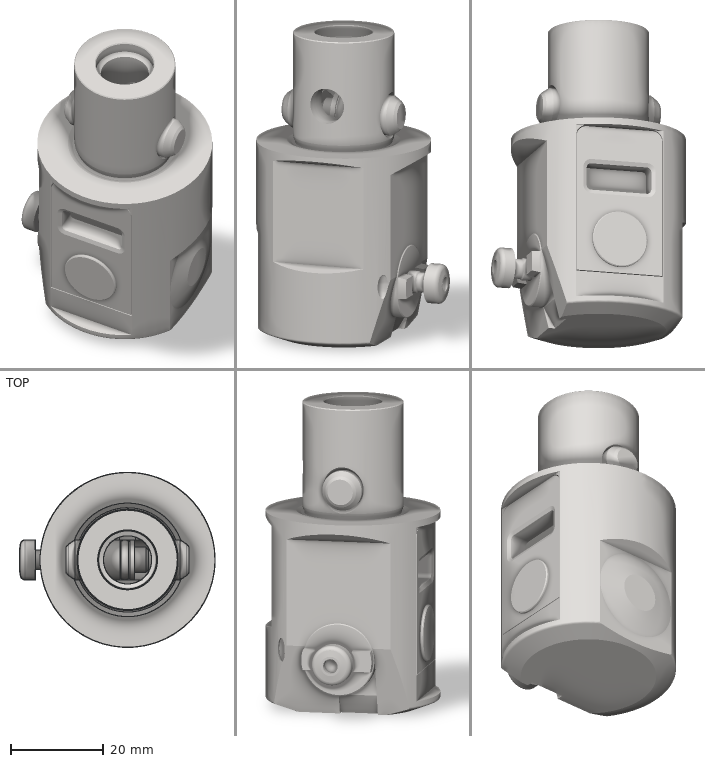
import cadquery as cq
import math

TOTAL_HEIGHT = 67.0
BODY_RADIUS = 18.995
BODY_TOP_Z = 42.95
FAR = 2 * BODY_RADIUS

BASE_CONE_HEIGHT = 1.7
BASE_CONE_WIDTH = 4.3
BASE_EDGE_FILLET = 0.55
EDGE_PICK_MARGIN = 0.1

SPIGOT_RADIUS = 11.0
SPIGOT_EDGE_CHAMFER = 0.2
NECK_RADIUS = 10.6
SPIGOT_TAPER_TOP_Z = 44.0
SPIGOT_TAPER_BOTTOM_Z = 43.35
SPIGOT_TAPER_RADIUS = 10.85
NECK_RECESS_RADIUS = 12.3
NECK_RECESS_FLOOR_RADIUS = 11.3
NECK_RECESS_DEPTH = 0.4
BORE_RADIUS = 5.2
COUNTERBORE_RADIUS = 6.3
COUNTERBORE_CHAMFER = 0.2
COUNTERBORE_DEPTH = 2.55
COUNTERBORE_CONE_DEPTH = 0.55
BACK_HOLE_RADIUS = 3.9
BACK_HOLE_Z = 52.65

CROSS_HOLE_Z = 49.2
CROSS_MOUTH_INNER_X = 9.7
CROSS_MOUTH_RADIUS = 5.1
CROSS_MOUTH_OVERSHOOT = 0.7
BUTTON_RADIUS = 4.35
CROSS_HOLE_RADIUS = BUTTON_RADIUS
BUTTON_FACE_X = 13.3
BUTTON_FACE_RADIUS = 2.8
BUTTON_RIM_X = 12.8
BUTTON_RIM_RADIUS = 3.4
BUTTON_SHOULDER_X = 11.4
LEFT_BODY_END_X = -1.7
BEAD_START_X = -1.4
BEAD_END_X = 0.2
COLLAR_START_X = 0.5
COLLAR_END_X = 1.55
NOSE_END_X = 4.5
NOSE_RADIUS = 2.75
NOSE_CHAMFER = 0.55
GROOVE_RADIUS = 4.0

LEFT_FLAT_X = -15.1
LEFT_FLAT_TOP_Z = 38.65
LEFT_FLAT_RIM_Z = 40.9
LEFT_SLOPE_TOP_Z = 15.3
LEFT_SLOPE_BOTTOM_X = -11.1
RIGHT_FLAT_X = 16.1
RIGHT_FLAT_TOP_Z = 23.0
RIGHT_FLAT_RIM_Z = 24.6
BACK_FLAT_Y = 15.9
BACK_FLAT_TOP_Z = 40.75
BACK_FLAT_TOP_RIM_Z = 42.0
BACK_FLAT_BOTTOM_Z = 18.3
BACK_FLAT_BOTTOM_RIM_Z = 17.3
FRONT_FLAT_Y = -16.2
FRONT_FLAT_TOP_Z = 41.5
FRONT_FLAT_BOTTOM_Z = 3.0

POCKET_FLOOR_Y = -11.7
POCKET_HALF_WIDTH = 9.8
POCKET_CORNER_RADIUS = 2.3
PANEL_CLEARANCE = 0.15
PANEL_HALF_WIDTH = POCKET_HALF_WIDTH - PANEL_CLEARANCE
DISPLAY_BOTTOM_Z = 24.85
COVER_TOP_Z = 8.8
COVER_GAP = 0.2
WINDOW_WIDTH = 14.6
WINDOW_HEIGHT = 5.9
WINDOW_Z = 30.2
WINDOW_CORNER_RADIUS = 1.0
WINDOW_CHAMFER_WIDTH = 0.9
WINDOW_CHAMFER_DEPTH = 0.4
POWER_BUTTON_RADIUS = 6.15
POWER_BUTTON_Z = 16.4
POWER_BUTTON_HEIGHT = 0.7
POWER_BUTTON_CHAMFER = 0.2

DISC_Z = 12.6
DISC_RADIUS = 8.0
DISC_FACE_X = -15.3
DISC_SEAT_X = -12.2
DISC_CHAMFER = 0.2
BAR_FACE_X = -17.3
BAR_TIP_WIDTH = 4.3
BAR_ROOT_WIDTH = 4.8
BAR_GAP_RADIUS = 4.0
SCREW_COLLAR_RADIUS = 2.4
SCREW_COLLAR_CHAMFER = 0.3
SCREW_NECK_RADIUS = 2.15
SCREW_HEAD_RADIUS = 4.35
SCREW_HEAD_BACK_X = -20.0
SCREW_HEAD_RIM_X = -22.3
SCREW_HEAD_FACE_X = -23.485
SCREW_HEAD_FACE_RADIUS = 2.15
SCREW_HEAD_ROUND_X = -22.9
SCREW_HEAD_ROUND_RADIUS = 4.1
SCREW_HEAD_BEND_X = -23.25
SCREW_HEAD_BEND_RADIUS = 3.55
SOCKET_RADIUS = 1.6
SOCKET_DEPTH = 2.0
SOCKET_TIP_DEPTH = 2.8

RELIEF_Y_MIN = -7.9
RELIEF_Y_MAX = 0.55
RELIEF_KNEE_Z = 4.4
RELIEF_ANGLE = 30.0

BOSS_Z = 12.85
BOSS_BASE_RADIUS = 10.0
BOSS_TOP_RADIUS = 4.35
BOSS_HEIGHT = 1.4

OVAL_Y = 12.9
OVAL_Z = 14.0
OVAL_HALF_WIDTH = 0.95
OVAL_HALF_HEIGHT = 2.7
OVAL_FLOOR_X = -11.7


def disc_along_x(radius, x_start, x_end, z):
    """Cylinder around an axis parallel to X at height z."""
    return (
        cq.Workplane("YZ", origin=(x_start, 0, z))
        .circle(radius)
        .extrude(x_end - x_start)
    )


def turned_along_x(profile, z):
    """Revolve a closed wire, drawn as (x, radius), around an axis parallel to X at height z."""
    return profile.revolve(360, (0, 0, 0), (1, 0, 0)).translate((0, 0, z))


def prism_along_y(points_xz, y_min, y_max):
    """Extrude an (x, z) polygon from y_min to y_max."""
    return (
        cq.Workplane("XZ", origin=(0, y_max, 0))
        .polyline(points_xz)
        .close()
        .extrude(y_max - y_min)
    )


def prism_along_x(points_yz):
    """Extrude a (y, z) polygon through the whole body."""
    return cq.Workplane("YZ").polyline(points_yz).close().extrude(FAR, both=True)


def front_block(half_width, z_min, z_max):
    """Block that fills the panel pocket between two heights."""
    return cq.Workplane("XY").box(
        2 * half_width, POCKET_FLOOR_Y - FRONT_FLAT_Y, z_max - z_min
    ).translate((0, (POCKET_FLOOR_Y + FRONT_FLAT_Y) / 2, (z_max + z_min) / 2))


def turned_blank():
    recess_floor_z = BODY_TOP_Z - NECK_RECESS_DEPTH
    profile = [
        (0, 0),
        (BODY_RADIUS - BASE_CONE_WIDTH, 0),
        (BODY_RADIUS, BASE_CONE_HEIGHT),
        (BODY_RADIUS, BODY_TOP_Z),
        (NECK_RECESS_RADIUS, BODY_TOP_Z),
        (NECK_RECESS_FLOOR_RADIUS, recess_floor_z),
        (NECK_RADIUS, recess_floor_z),
        (NECK_RADIUS, SPIGOT_TAPER_BOTTOM_Z),
        (SPIGOT_TAPER_RADIUS, SPIGOT_TAPER_BOTTOM_Z),
        (SPIGOT_RADIUS, SPIGOT_TAPER_TOP_Z),
        (SPIGOT_RADIUS, TOTAL_HEIGHT - SPIGOT_EDGE_CHAMFER),
        (SPIGOT_RADIUS - SPIGOT_EDGE_CHAMFER, TOTAL_HEIGHT),
        (0, TOTAL_HEIGHT),
    ]
    blank = cq.Workplane("XZ").polyline(profile).close().revolve(360, (0, 0, 0), (0, 1, 0))
    base_edge = cq.selectors.BoxSelector(
        (-FAR, -FAR, BASE_CONE_HEIGHT - EDGE_PICK_MARGIN),
        (FAR, FAR, BASE_CONE_HEIGHT + EDGE_PICK_MARGIN),
        boundingbox=True,
    )
    return blank.edges(base_edge).fillet(BASE_EDGE_FILLET)


def left_flat_cut():
    rim_slope = (LEFT_FLAT_RIM_Z - LEFT_FLAT_TOP_Z) / (BODY_RADIUS + LEFT_FLAT_X)
    points = [
        (LEFT_FLAT_X, LEFT_FLAT_TOP_Z),
        (LEFT_FLAT_X, LEFT_SLOPE_TOP_Z),
        (LEFT_SLOPE_BOTTOM_X, 0),
        (-FAR, 0),
        (-FAR, LEFT_FLAT_TOP_Z + rim_slope * (FAR + LEFT_FLAT_X)),
    ]
    return prism_along_y(points, -FAR, FAR)


def right_flat_cut():
    rim_slope = (RIGHT_FLAT_RIM_Z - RIGHT_FLAT_TOP_Z) / (BODY_RADIUS - RIGHT_FLAT_X)
    points = [
        (RIGHT_FLAT_X, 0),
        (RIGHT_FLAT_X, RIGHT_FLAT_TOP_Z),
        (FAR, RIGHT_FLAT_TOP_Z + rim_slope * (FAR - RIGHT_FLAT_X)),
        (FAR, 0),
    ]
    return prism_along_y(points, -FAR, FAR)


def back_flat_cut():
    points = [
        (BACK_FLAT_Y, BACK_FLAT_BOTTOM_Z),
        (BACK_FLAT_Y, BACK_FLAT_TOP_Z),
        (BODY_RADIUS, BACK_FLAT_TOP_RIM_Z),
        (FAR, BACK_FLAT_TOP_RIM_Z),
        (FAR, BACK_FLAT_BOTTOM_RIM_Z),
        (BODY_RADIUS, BACK_FLAT_BOTTOM_RIM_Z),
    ]
    return prism_along_x(points)


def front_flat_cut():
    points = [
        (FRONT_FLAT_Y, FRONT_FLAT_BOTTOM_Z),
        (FRONT_FLAT_Y, FRONT_FLAT_TOP_Z),
        (-FAR, FRONT_FLAT_TOP_Z),
        (-FAR, FRONT_FLAT_BOTTOM_Z),
    ]
    return prism_along_x(points)


def panel_pocket():
    pocket = front_block(POCKET_HALF_WIDTH, FRONT_FLAT_BOTTOM_Z, FRONT_FLAT_TOP_Z)
    return pocket.edges("|Y").fillet(POCKET_CORNER_RADIUS)


def spigot_bore():
    cone_top_z = TOTAL_HEIGHT - COUNTERBORE_DEPTH
    profile = [
        (0, CROSS_HOLE_Z),
        (BORE_RADIUS, CROSS_HOLE_Z),
        (BORE_RADIUS, cone_top_z - COUNTERBORE_CONE_DEPTH),
        (COUNTERBORE_RADIUS, cone_top_z),
        (COUNTERBORE_RADIUS, TOTAL_HEIGHT - COUNTERBORE_CHAMFER),
        (COUNTERBORE_RADIUS + COUNTERBORE_CHAMFER, TOTAL_HEIGHT),
        (0, TOTAL_HEIGHT),
    ]
    return cq.Workplane("XZ").polyline(profile).close().revolve(360, (0, 0, 0), (0, 1, 0))


def cross_hole():
    mouth_slope = (CROSS_MOUTH_RADIUS - CROSS_HOLE_RADIUS) / (SPIGOT_RADIUS - CROSS_MOUTH_INNER_X)
    end_x = SPIGOT_RADIUS + CROSS_MOUTH_OVERSHOOT
    end_radius = CROSS_HOLE_RADIUS + mouth_slope * (end_x - CROSS_MOUTH_INNER_X)
    profile = cq.Workplane("XY").polyline([
        (-end_x, 0),
        (-end_x, end_radius),
        (-CROSS_MOUTH_INNER_X, CROSS_HOLE_RADIUS),
        (CROSS_MOUTH_INNER_X, CROSS_HOLE_RADIUS),
        (end_x, end_radius),
        (end_x, 0),
    ]).close()
    return turned_along_x(profile, CROSS_HOLE_Z)


def back_hole():
    return (
        cq.Workplane("XZ", origin=(0, 0, BACK_HOLE_Z))
        .circle(BACK_HOLE_RADIUS)
        .extrude(-BODY_RADIUS)
    )


def disc_relief():
    """Opening under the disc, with its back wall leaning inward below the knee."""
    lean = RELIEF_KNEE_Z * math.tan(math.radians(RELIEF_ANGLE))
    points = [
        (-FAR, 0),
        (DISC_SEAT_X + lean, 0),
        (DISC_SEAT_X, RELIEF_KNEE_Z),
        (DISC_SEAT_X, DISC_Z),
        (-FAR, DISC_Z),
    ]
    return prism_along_y(points, RELIEF_Y_MIN, RELIEF_Y_MAX)


def oval_recess():
    return (
        cq.Workplane("YZ", origin=(OVAL_FLOOR_X, OVAL_Y, OVAL_Z))
        .ellipse(OVAL_HALF_WIDTH, OVAL_HALF_HEIGHT)
        .extrude(-BODY_RADIUS)
    )


def right_boss():
    profile = cq.Workplane("XY").polyline([
        (RIGHT_FLAT_X, 0),
        (RIGHT_FLAT_X, BOSS_BASE_RADIUS),
        (RIGHT_FLAT_X + BOSS_HEIGHT, BOSS_TOP_RADIUS),
        (RIGHT_FLAT_X + BOSS_HEIGHT, 0),
    ]).close()
    return turned_along_x(profile, BOSS_Z)


def make_housing():
    cuts = [
        left_flat_cut(),
        right_flat_cut(),
        back_flat_cut(),
        front_flat_cut(),
        panel_pocket(),
        spigot_bore(),
        cross_hole(),
        back_hole(),
        disc_along_x(DISC_RADIUS, -FAR, DISC_SEAT_X, DISC_Z),
        disc_relief(),
        oval_recess(),
    ]
    housing = turned_blank()
    for cut in cuts:
        housing = housing.cut(cut)
    return housing.union(right_boss())


def make_display_panel():
    """Upper panel with a chamfered window down to the pocket floor."""
    top_z = FRONT_FLAT_TOP_Z - PANEL_CLEARANCE
    panel = front_block(PANEL_HALF_WIDTH, DISPLAY_BOTTOM_Z, top_z)
    panel = panel.edges("|Y and >Z").fillet(POCKET_CORNER_RADIUS)
    window = (
        cq.Workplane("XZ", origin=(0, POCKET_FLOOR_Y, WINDOW_Z))
        .rect(WINDOW_WIDTH, WINDOW_HEIGHT)
        .extrude(POCKET_FLOOR_Y - FRONT_FLAT_Y)
        .edges("|Y")
        .fillet(WINDOW_CORNER_RADIUS)
    )
    rim_taper = math.degrees(math.atan(WINDOW_CHAMFER_WIDTH / WINDOW_CHAMFER_DEPTH))
    rim = (
        window.faces("<Y").wires().toPending()
        .workplane()
        .offset2D(WINDOW_CHAMFER_WIDTH)
        .extrude(-WINDOW_CHAMFER_DEPTH, taper=rim_taper)
    )
    return panel.cut(window).cut(rim)


def make_keypad():
    """Middle panel with the raised round power button."""
    keypad = front_block(PANEL_HALF_WIDTH, COVER_TOP_Z + COVER_GAP, DISPLAY_BOTTOM_Z)
    button = (
        cq.Workplane("XZ", origin=(0, FRONT_FLAT_Y, POWER_BUTTON_Z))
        .circle(POWER_BUTTON_RADIUS)
        .extrude(POWER_BUTTON_HEIGHT)
        .faces("<Y")
        .chamfer(POWER_BUTTON_CHAMFER)
    )
    return keypad.union(button)


def make_lower_cover():
    cover = front_block(POCKET_HALF_WIDTH, FRONT_FLAT_BOTTOM_Z, COVER_TOP_Z)
    return cover.edges("|Y and <Z").fillet(POCKET_CORNER_RADIUS)


def button_head_points(side):
    """Domed outer end from the axis to the shoulder; side is -1 for left and 1 for right."""
    return [
        (side * BUTTON_FACE_X, 0),
        (side * BUTTON_FACE_X, BUTTON_FACE_RADIUS),
        (side * BUTTON_RIM_X, BUTTON_RIM_RADIUS),
        (side * BUTTON_SHOULDER_X, BUTTON_RADIUS),
    ]


def make_left_button():
    """Long button with a rounded bead, a collar and a nose that meets the right button."""
    profile = (
        cq.Workplane("XY")
        .polyline(button_head_points(-1))
        .lineTo(LEFT_BODY_END_X, BUTTON_RADIUS)
        .lineTo(LEFT_BODY_END_X, GROOVE_RADIUS)
        .lineTo(BEAD_START_X, GROOVE_RADIUS)
        .threePointArc(
            ((BEAD_START_X + BEAD_END_X) / 2, BUTTON_RADIUS), (BEAD_END_X, GROOVE_RADIUS)
        )
        .lineTo(COLLAR_START_X, GROOVE_RADIUS)
        .lineTo(COLLAR_START_X, BUTTON_RADIUS)
        .lineTo(COLLAR_END_X, BUTTON_RADIUS)
        .lineTo(COLLAR_END_X, NOSE_RADIUS)
        .lineTo(NOSE_END_X - NOSE_CHAMFER, NOSE_RADIUS)
        .lineTo(NOSE_END_X, NOSE_RADIUS - NOSE_CHAMFER)
        .lineTo(NOSE_END_X, 0)
        .close()
    )
    return turned_along_x(profile, CROSS_HOLE_Z)


def make_right_button():
    profile = (
        cq.Workplane("XY")
        .polyline(button_head_points(1))
        .lineTo(NOSE_END_X, BUTTON_RADIUS)
        .lineTo(NOSE_END_X, 0)
        .close()
    )
    return turned_along_x(profile, CROSS_HOLE_Z)


def make_turning_disc():
    """Round disc with a raised, slightly tapered bar across it, cleared around the screw."""
    disc = disc_along_x(DISC_RADIUS, DISC_FACE_X, DISC_SEAT_X, DISC_Z)
    disc = disc.faces("<X").chamfer(DISC_CHAMFER)
    bar_section = [
        (DISC_FACE_X, DISC_Z - BAR_ROOT_WIDTH / 2),
        (DISC_FACE_X, DISC_Z + BAR_ROOT_WIDTH / 2),
        (BAR_FACE_X, DISC_Z + BAR_TIP_WIDTH / 2),
        (BAR_FACE_X, DISC_Z - BAR_TIP_WIDTH / 2),
    ]
    bar = (
        prism_along_y(bar_section, -DISC_RADIUS, DISC_RADIUS)
        .intersect(disc_along_x(DISC_RADIUS - DISC_CHAMFER, BAR_FACE_X, DISC_FACE_X, DISC_Z))
        .cut(disc_along_x(BAR_GAP_RADIUS, BAR_FACE_X, DISC_FACE_X, DISC_Z))
    )
    screw_hole = disc_along_x(SCREW_COLLAR_RADIUS, DISC_FACE_X, DISC_SEAT_X, DISC_Z)
    return disc.union(bar).cut(screw_hole)


def make_screw():
    """Domed-head screw with a drilled socket and a collar seated in the disc."""
    socket_floor_x = SCREW_HEAD_FACE_X + SOCKET_DEPTH
    profile = (
        cq.Workplane("XY")
        .moveTo(DISC_SEAT_X, 0)
        .lineTo(DISC_SEAT_X, SCREW_COLLAR_RADIUS)
        .lineTo(BAR_FACE_X, SCREW_COLLAR_RADIUS)
        .lineTo(BAR_FACE_X - SCREW_COLLAR_CHAMFER, SCREW_NECK_RADIUS)
        .lineTo(SCREW_HEAD_BACK_X, SCREW_NECK_RADIUS)
        .lineTo(SCREW_HEAD_BACK_X, SCREW_HEAD_RADIUS)
        .lineTo(SCREW_HEAD_RIM_X, SCREW_HEAD_RADIUS)
        .threePointArc(
            (SCREW_HEAD_ROUND_X, SCREW_HEAD_ROUND_RADIUS), (SCREW_HEAD_BEND_X, SCREW_HEAD_BEND_RADIUS)
        )
        .lineTo(SCREW_HEAD_FACE_X, SCREW_HEAD_FACE_RADIUS)
        .lineTo(SCREW_HEAD_FACE_X, SOCKET_RADIUS)
        .lineTo(socket_floor_x, SOCKET_RADIUS)
        .lineTo(SCREW_HEAD_FACE_X + SOCKET_TIP_DEPTH, 0)
        .close()
    )
    return turned_along_x(profile, DISC_Z)


housing = make_housing()
display_panel = make_display_panel()
keypad = make_keypad()
lower_cover = make_lower_cover()
left_button = make_left_button()
right_button = make_right_button()
turning_disc = make_turning_disc()
screw = make_screw()

bodies = [
    housing,
    display_panel,
    keypad,
    lower_cover,
    left_button,
    right_button,
    turning_disc,
    screw,
]
result = cq.Compound.makeCompound([body.solids().val() for body in bodies])